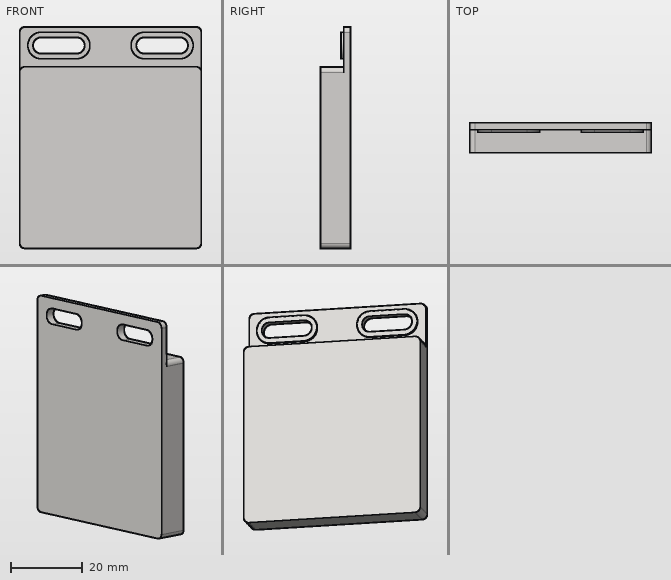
import cadquery as cq

width = 51.0
depth = 8.5
height = 62.2
corner_radius = 1.5

plate_thickness = 2.0
block_height = 51.0

slot_length = 14.4
slot_width = 4.5
rim_wall = 1.5
rim_height = 0.75
slot_offset_x = 14.5
slot_drop = 5.2

slot_centers = [(side * slot_offset_x, height - slot_drop) for side in (-1, 1)]


def rounded_panel(panel_height, back_y, thickness):
    """Upright panel standing on Z = 0, reaching forward from back_y."""
    return (
        cq.Workplane("XZ", origin=(0, back_y, 0))
        .center(0, panel_height / 2)
        .rect(width, panel_height)
        .extrude(thickness)
        .edges("|Y")
        .fillet(corner_radius)
    )


def slot_prisms(length, slot_height, back_y, thickness):
    """Pair of round-ended prisms reaching forward from back_y."""
    return (
        cq.Workplane("XZ", origin=(0, back_y, 0))
        .pushPoints(slot_centers)
        .slot2D(length, slot_height)
        .extrude(thickness)
    )


plate = rounded_panel(height, depth, plate_thickness)
block = rounded_panel(block_height, depth, depth)
rims = slot_prisms(
    slot_length + 2 * rim_wall,
    slot_width + 2 * rim_wall,
    depth,
    plate_thickness + rim_height,
)
slots = slot_prisms(slot_length, slot_width, depth, depth)

result = plate.union(block).union(rims).cut(slots)